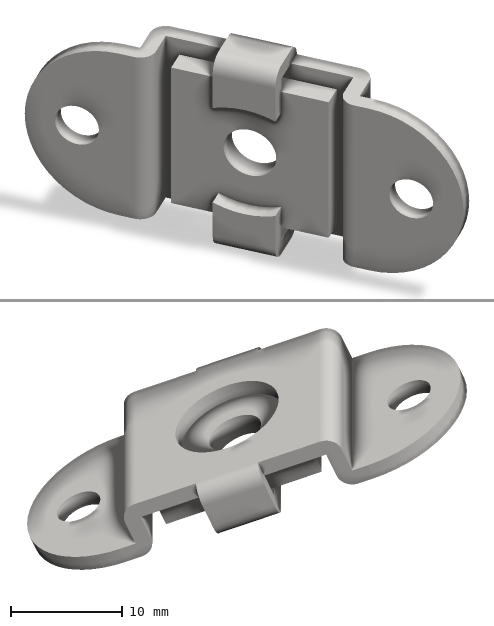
import cadquery as cq

length = 42.0
depth = 5.5
height_over_hooks = 21.0
sheet = 1.5

strap_height = height_over_hooks - 2 * sheet
end_radius = strap_height / 2
bridge_half_width = 10.5
flange_hole_diameter = 4.2
flange_hole_x = 16.0
bridge_hole_diameter = 10.0

hook_width = 6.0
hook_tip_corner_z = 5.25
hook_tip_middle_z = 5.8

plate_side = 15.08
plate_thickness = 2.1
plate_hole_diameter = 5.05


def hole_cutter(diameter, x):
    """Round cutter along Y through the whole depth."""
    return cq.Workplane("XZ").center(x, 0).circle(diameter / 2).extrude(-depth)


def make_strap():
    """Hat-shaped sheet with rounded outer bends, sharp inner bends and round ends."""
    wall_inner = bridge_half_width - sheet
    half_length = length / 2
    half_profile = [
        (wall_inner, depth - sheet),
        (wall_inner, 0),
        (half_length, 0),
        (half_length, sheet),
        (bridge_half_width, sheet),
        (bridge_half_width, depth),
    ]
    mirrored = [(-x, y) for x, y in reversed(half_profile)]
    strap = (
        cq.Workplane("XY")
        .workplane(offset=-strap_height / 2)
        .polyline(half_profile + mirrored)
        .close()
        .extrude(strap_height)
    )
    for side in (-1, 1):
        for x, y in ((wall_inner, 0), (bridge_half_width, depth)):
            bend = cq.selectors.NearestToPointSelector((side * x, y, 0))
            strap = strap.edges(bend).fillet(sheet)
    outline = (
        cq.Workplane("XZ")
        .slot2D(length, 2 * end_radius)
        .extrude(-depth)
    )
    return strap.intersect(outline)


def make_hook():
    """Upper hook: sheet bent forward from the bridge and down over the plate."""
    top = height_over_hooks / 2
    block = (
        cq.Workplane("XY")
        .box(hook_width, depth, top, centered=(True, False, False))
        .edges("|X and >Z")
        .fillet(sheet)
    )
    space_behind_lip = (
        cq.Workplane("XY")
        .box(hook_width, depth - 2 * sheet, strap_height / 2, centered=(True, False, False))
        .translate((0, sheet, 0))
    )
    half_width = hook_width / 2
    space_below_tip = (
        cq.Workplane("XZ")
        .moveTo(-half_width, 0)
        .lineTo(-half_width, hook_tip_corner_z)
        .threePointArc((0, hook_tip_middle_z), (half_width, hook_tip_corner_z))
        .lineTo(half_width, 0)
        .close()
        .extrude(-depth)
    )
    return block.cut(space_behind_lip).cut(space_below_tip)


def make_bracket():
    """Strap with its two hooks, two flange holes and a clearance hole in the bridge."""
    upper_hook = make_hook()
    bracket = make_strap().union(upper_hook).union(upper_hook.mirror("XY"))
    for x in (-flange_hole_x, flange_hole_x):
        bracket = bracket.cut(hole_cutter(flange_hole_diameter, x))
    bridge_hole = (
        hole_cutter(bridge_hole_diameter, 0)
        .intersect(
            cq.Workplane("XY")
            .box(length, sheet, height_over_hooks, centered=(True, False, True))
            .translate((0, depth - sheet, 0))
        )
    )
    return bracket.cut(bridge_hole)


def make_plate():
    """Square plate with a center hole, resting against the backs of the hook lips."""
    plate = (
        cq.Workplane("XY")
        .box(plate_side, plate_thickness, plate_side, centered=(True, False, True))
        .translate((0, sheet, 0))
    )
    return plate.cut(hole_cutter(plate_hole_diameter, 0))


bracket = make_bracket()
plate = make_plate()
result = cq.Compound.makeCompound([bracket.val(), plate.val()])